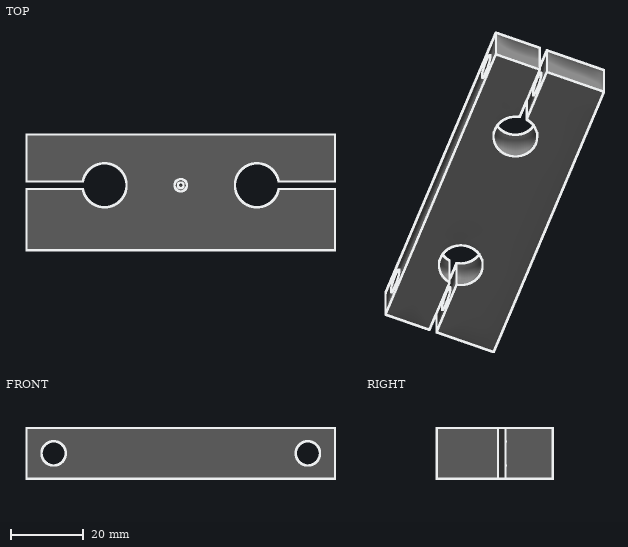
import cadquery as cq
import math

length = 85.0
width = 32.0
height = 14.0

bore_diameter = 12.1
bore_spacing = 42.0
bore_axis_y = 1.95
slot_width = 2.0

screw_diameter = 6.6
screw_spacing = 70.0

countersink_diameter = 3.4
countersink_angle = 60.0
pilot_diameter = 1.6
pilot_length = 1.5
tip_angle = 120.0


def make_block():
    return cq.Workplane("XY").box(length, width, height)


def cut_clamp(body, side):
    """Cut one bore and its slot; side is -1 for the -X end, +1 for the +X end."""
    bore_x = side * bore_spacing / 2
    end_x = side * length / 2
    bore = cq.Workplane("XY").center(bore_x, bore_axis_y).circle(bore_diameter / 2)
    slot = cq.Workplane("XY").center((bore_x + end_x) / 2, bore_axis_y)
    slot = slot.rect(abs(end_x - bore_x), slot_width)
    return body.cut(bore.extrude(height, both=True)).cut(slot.extrude(height, both=True))


def cut_screw_hole(body, side):
    hole = cq.Workplane("XZ").center(side * screw_spacing / 2, 0).circle(screw_diameter / 2)
    return body.cut(hole.extrude(width, both=True))


def cut_center_hole(body):
    countersink_radius = countersink_diameter / 2
    pilot_radius = pilot_diameter / 2
    countersink_half_angle = math.radians(countersink_angle / 2)
    tip_half_angle = math.radians(tip_angle / 2)
    top_z = height / 2
    pilot_top_z = top_z - (countersink_radius - pilot_radius) / math.tan(countersink_half_angle)
    pilot_end_z = pilot_top_z - pilot_length
    tip_z = pilot_end_z - pilot_radius / math.tan(tip_half_angle)
    profile = cq.Workplane("XZ", origin=(0, bore_axis_y, 0)).polyline([
        (0, top_z),
        (countersink_radius, top_z),
        (pilot_radius, pilot_top_z),
        (pilot_radius, pilot_end_z),
        (0, tip_z),
    ]).close()
    return body.cut(profile.revolve(360, (0, 0, 0), (0, 1, 0)))


result = make_block()
for end in (-1, 1):
    result = cut_clamp(result, end)
    result = cut_screw_hole(result, end)
result = cut_center_hole(result)